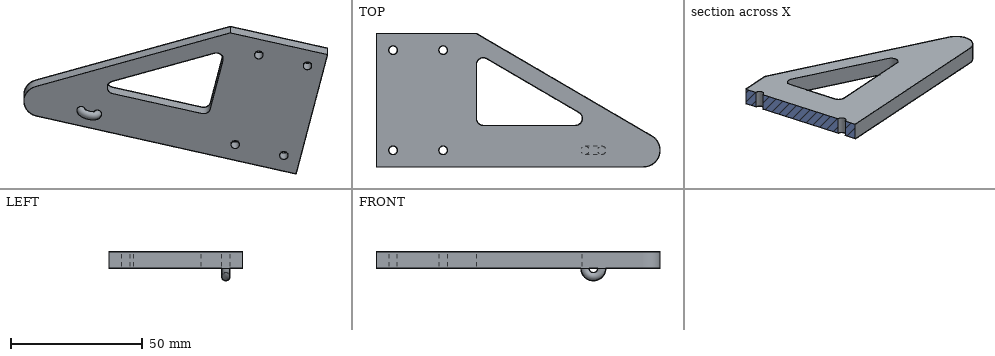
import cadquery as cq
import math

LENGTH = 108.0
GRID = LENGTH / 17

WIDTH = 8 * GRID
THICKNESS = GRID
SHOULDER_X = 6 * GRID
TIP_RADIUS = GRID
TIP_X = LENGTH - TIP_RADIUS
TIP_Y = TIP_RADIUS

SHOULDER_TO_TIP = math.hypot(TIP_X - SHOULDER_X, WIDTH - TIP_Y)
SLOPE = (
    math.atan2(WIDTH - TIP_Y, TIP_X - SHOULDER_X)
    - math.asin(TIP_RADIUS / SHOULDER_TO_TIP)
)

HOLE_DIAMETER = GRID / 2
HOLE_XS = (GRID, 4 * GRID)
HOLE_YS = (GRID, WIDTH - GRID)

WINDOW_X = SHOULDER_X
WINDOW_Y = 2.5 * GRID
RIM_WIDTH = GRID
WINDOW_CORNER_RADIUS = 2.6

EYE_X = 13 * GRID
EYE_Y = TIP_Y
EYE_RADIUS = GRID / 2
EYE_ROD_DIAMETER = GRID / 2


def point_on_tip(angle):
    """Point of the tip arc at an angle measured from +X."""
    return (TIP_X + TIP_RADIUS * math.cos(angle), TIP_Y + TIP_RADIUS * math.sin(angle))


def make_plate_blank():
    return (
        cq.Workplane("XY")
        .lineTo(TIP_X, 0)
        .threePointArc(point_on_tip(0), point_on_tip(math.pi / 2 - SLOPE))
        .lineTo(SHOULDER_X, WIDTH)
        .lineTo(0, WIDTH)
        .close()
        .extrude(THICKNESS)
    )


def make_window():
    top_y = WIDTH - RIM_WIDTH / math.cos(SLOPE)
    right_x = WINDOW_X + (top_y - WINDOW_Y) / math.tan(SLOPE)
    return (
        cq.Workplane("XY")
        .polyline([(WINDOW_X, WINDOW_Y), (right_x, WINDOW_Y), (WINDOW_X, top_y)])
        .close()
        .extrude(THICKNESS)
        .edges("|Z")
        .fillet(WINDOW_CORNER_RADIUS)
    )


def make_mounting_holes():
    centres = [(x, y) for x in HOLE_XS for y in HOLE_YS]
    return (
        cq.Workplane("XY")
        .pushPoints(centres)
        .circle(HOLE_DIAMETER / 2)
        .extrude(THICKNESS)
    )


def make_plate():
    return make_plate_blank().cut(make_window()).cut(make_mounting_holes())


def make_eye():
    return (
        cq.Workplane("XY", origin=(EYE_X, EYE_Y, 0))
        .center(EYE_RADIUS, 0)
        .circle(EYE_ROD_DIAMETER / 2)
        .revolve(180, (-EYE_RADIUS, 0), (-EYE_RADIUS, 1))
    )


plate = make_plate()
eye = make_eye()

result = cq.Compound.makeCompound([plate.solids().val(), eye.val()])